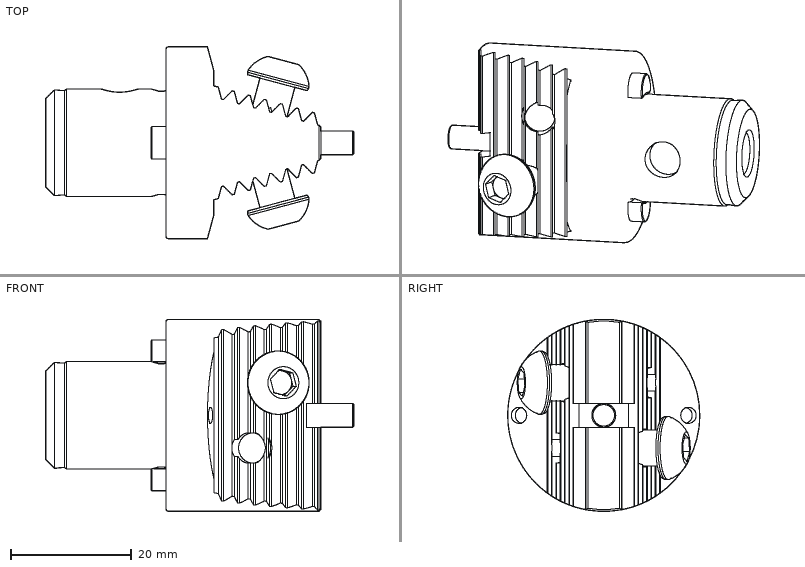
import cadquery as cq
import math


shank_length = 20.0
shank_radius = 9.0
tip_radius = 7.4
tip_chamfer_length = 1.45
relief_radius = 8.8
relief_floor_radius = 8.7
relief_start = 1.75
relief_floor_start = 2.65
relief_floor_end = 3.15
relief_end = 3.5

neck_length = 2.4
neck_taper_length = 1.25
neck_radius = 8.6
neck_fillet = 0.6
face_undercut_radius = 10.75
face_undercut_depth = 0.2

head_radius = 16.0
head_length = 25.8
rim_fillet = 0.45
end_chamfer = 0.3

bore_radius = 3.45
bore_chamfer_width = 0.5
bore_chamfer_depth = 0.6
bore_depth = 15.4
drill_point_angle = 118.0

dent_radius = 3.05
dent_x = -7.7
dent_depth = 3.1

flank_angle = 15.0
shoulder_x = 8.0
shoulder_outer_y = 12.0
flank_start_y = 9.5
groove_depth = 1.8
groove_half_angle = 30.0
groove_root_width = 0.3
groove_pitch_x = 2.65
groove_count = 7
first_land = 0.75

coolant_radius = 1.35
coolant_depth = 2.55
coolant_y = 14.1

pin_radius = 2.0
pin_length = 7.9
pin_chamfer = 0.2
pin_end_x = 31.3

key_radius = 2.7
key_length = 2.45
key_center_z = 9.85
key_chamfer = 0.15
key_fillet = 0.3
key_inner_radius = 9.2

screw_seat_x = 18.55
screw_seat_y = 10.0
screw_z = 5.45
screw_shank_radius = 3.05
screw_exit_radius = 2.5
screw_length = 15.6
screw_clearance_radius = 3.3
screw_head_radius = 5.3
screw_head_height = 3.85
screw_head_flat_radius = 2.65
screw_rim_height = 0.75
screw_rim_chamfer_width = 0.15
screw_rim_chamfer_height = 0.4
hex_across_flats = 4.0
hex_depth = 2.1
hex_turn = 15.0

slope = math.radians(flank_angle)
groove_pitch = groove_pitch_x / math.cos(slope)
groove_flank_run = groove_depth * math.tan(math.radians(groove_half_angle))
point_slope = math.tan(math.radians(drill_point_angle / 2))
outside = head_radius + 1.05
pin_start_x = pin_end_x - pin_length
half_turns = (0, 180)


def turned_blank():
    """Shank, undercut and cylindrical head turned about X."""
    tip_x = -shank_length
    corner_x = neck_fillet * math.sin(math.pi / 4)
    fillet_start_x = face_undercut_depth - neck_fillet
    fillet_center_y = neck_radius + neck_fillet
    fillet_mid = (fillet_start_x + corner_x, fillet_center_y - corner_x)
    return (
        cq.Workplane("XY")
        .moveTo(tip_x, 0)
        .lineTo(tip_x, tip_radius)
        .lineTo(tip_x + tip_chamfer_length, relief_radius)
        .lineTo(tip_x + relief_start, relief_radius)
        .lineTo(tip_x + relief_floor_start, relief_floor_radius)
        .lineTo(tip_x + relief_floor_end, relief_floor_radius)
        .lineTo(tip_x + relief_end, shank_radius)
        .lineTo(-neck_length, shank_radius)
        .lineTo(-neck_length + neck_taper_length, neck_radius)
        .lineTo(fillet_start_x, neck_radius)
        .threePointArc(fillet_mid, (face_undercut_depth, fillet_center_y))
        .lineTo(0, face_undercut_radius)
        .lineTo(0, head_radius - rim_fillet)
        .radiusArc((rim_fillet, head_radius), rim_fillet)
        .lineTo(head_length - end_chamfer, head_radius)
        .lineTo(head_length, head_radius - end_chamfer)
        .lineTo(head_length, 0)
        .close()
        .revolve(360, (0, 0, 0), (1, 0, 0))
    )


def bore_tool():
    """Blind bore from the shank tip with a chamfered mouth and a drill point."""
    mouth_x = -shank_length
    floor_x = mouth_x + bore_depth
    return (
        cq.Workplane("XY")
        .moveTo(mouth_x, 0)
        .lineTo(mouth_x, bore_radius + bore_chamfer_width)
        .lineTo(mouth_x + bore_chamfer_depth, bore_radius)
        .lineTo(floor_x, bore_radius)
        .lineTo(floor_x + bore_radius / point_slope, 0)
        .close()
        .revolve(360, (0, 0, 0), (1, 0, 0))
    )


def dent_tool():
    """Blind cross hole in the +Y side of the shank."""
    floor = cq.Vector(dent_x, shank_radius - dent_depth, 0)
    return cq.Workplane(cq.Solid.makeCylinder(dent_radius, outside, floor, cq.Vector(0, 1, 0)))


def flank_point(along, depth):
    """Point at a distance along the +Y flank and a depth square to it."""
    x = shoulder_x + along * math.cos(slope) - depth * math.sin(slope)
    y = flank_start_y - along * math.sin(slope) - depth * math.cos(slope)
    return (x, y)


def shoulder_x_at(y):
    """X of the slanted shoulder face at a height y."""
    return shoulder_x - (y - shoulder_outer_y) * math.tan(slope)


def flank_tool():
    """Material outside the serrated +Y flank, as a prism along Z."""
    points = [
        (shoulder_x_at(outside), outside),
        (shoulder_x, shoulder_outer_y),
        (shoulder_x, flank_start_y),
    ]
    for i in range(groove_count):
        start = first_land + i * groove_pitch
        root_start = start + groove_flank_run
        root_end = root_start + groove_root_width
        points.append(flank_point(start, 0))
        points.append(flank_point(root_start, groove_depth))
        if i < groove_count - 1:
            points.append(flank_point(root_end, groove_depth))
            points.append(flank_point(root_end + groove_flank_run, 0))
    last_x, last_y = points[-1]
    chamfer_x = head_length - end_chamfer
    chamfer_y = last_y - (chamfer_x - last_x) * math.tan(slope)
    points += [
        (chamfer_x, chamfer_y),
        (head_length, chamfer_y - end_chamfer),
        (head_length, outside),
    ]
    return cq.Workplane("XY").polyline(points).close().extrude(outside, both=True)


def coolant_tool():
    """Blind hole square to the slanted shoulder face on the +Y side."""
    mouth = cq.Vector(shoulder_x_at(coolant_y), coolant_y, 0)
    inward = cq.Vector(-math.cos(slope), -math.sin(slope), 0)
    return cq.Workplane(cq.Solid.makeCylinder(coolant_radius, coolant_depth, mouth, inward))


def pin_slot_tool():
    """Slot across the end of the head that the pin lies in."""
    return (
        cq.Workplane("XY")
        .box(head_length - pin_start_x, 2 * outside, 2 * pin_radius, centered=(False, True, True))
        .translate((pin_start_x, 0, 0))
    )


def place_screw(shape, turn):
    """Move a shape from the screw's own Z axis to its seat, turned about X."""
    return (
        shape.rotate((0, 0, 0), (1, 0, 0), -90)
        .rotate((0, 0, 0), (0, 0, 1), -flank_angle)
        .translate((screw_seat_x, screw_seat_y, -screw_z))
        .rotate((0, 0, 0), (1, 0, 0), turn)
    )


def screw_shank():
    """Plain shank hanging below the head's underside at Z = 0."""
    return cq.Workplane("XY").circle(screw_shank_radius).extrude(-screw_length)


def screw_hole_tool():
    """Hole with a wide entry, a close fit on the shank's end and a narrow exit."""
    entry = cq.Workplane("XY").circle(screw_clearance_radius).extrude(-screw_length / 2)
    exit_hole = cq.Workplane("XY").circle(screw_exit_radius).extrude(-2 * outside)
    return screw_shank().union(entry).union(exit_hole)


def make_screw():
    """Button head screw with a hex socket."""
    dome_rise = screw_head_height - screw_rim_height
    spread = screw_head_radius**2 - screw_head_flat_radius**2
    dome_drop = (spread - dome_rise**2) / (2 * dome_rise)
    dome_radius = math.hypot(screw_head_radius, dome_drop)
    head = (
        cq.Workplane("XZ")
        .lineTo(screw_head_radius - screw_rim_chamfer_width, 0)
        .lineTo(screw_head_radius, screw_rim_chamfer_height)
        .lineTo(screw_head_radius, screw_rim_height)
        .radiusArc((screw_head_flat_radius, screw_head_height), -dome_radius)
        .lineTo(0, screw_head_height)
        .close()
        .revolve(360, (0, 0, 0), (0, 1, 0))
    )
    hex_floor = screw_head_height - hex_depth
    socket = (
        cq.Workplane("XY")
        .polygon(6, hex_across_flats, circumscribed=True)
        .extrude(hex_depth)
        .rotate((0, 0, 0), (0, 0, 1), hex_turn)
        .translate((0, 0, hex_floor))
    )
    point_radius = hex_across_flats / 2
    point_depth = point_radius / point_slope
    point = cq.Workplane(
        cq.Solid.makeCone(point_radius, 0, point_depth, cq.Vector(0, 0, hex_floor), cq.Vector(0, 0, -1))
    )
    return head.union(screw_shank()).cut(socket).cut(point)


def make_key():
    """Round drive key on the flange above the shank, hollowed to clear it."""
    round_key = cq.Workplane("YZ").center(0, key_center_z).circle(key_radius).extrude(-key_length)
    clearance = cq.Workplane("YZ").circle(key_inner_radius).extrude(-key_length)
    key = round_key.cut(clearance)
    lower_corners = key.edges("|X").edges("<Z")
    return lower_corners.fillet(key_fillet).faces("<X").chamfer(key_chamfer)


def make_pin():
    """Pilot pin that starts at the floor of its slot."""
    pin = cq.Workplane("YZ").circle(pin_radius).extrude(pin_length)
    return pin.faces(">X").chamfer(pin_chamfer).translate((pin_start_x, 0, 0))


def make_housing():
    housing = turned_blank().cut(bore_tool()).cut(dent_tool())
    for tool in (flank_tool(), coolant_tool()):
        housing = housing.cut(tool).cut(tool.mirror("XZ"))
    housing = housing.cut(pin_slot_tool())
    for turn in half_turns:
        housing = housing.cut(place_screw(screw_hole_tool(), turn))
    return housing


housing = make_housing()
pin = make_pin()
keys = [make_key().rotate((0, 0, 0), (1, 0, 0), turn) for turn in half_turns]
screws = [place_screw(make_screw(), turn) for turn in half_turns]

result = cq.Compound.makeCompound(
    [housing.val(), pin.val(), *[key.val() for key in keys], *[screw.val() for screw in screws]]
)